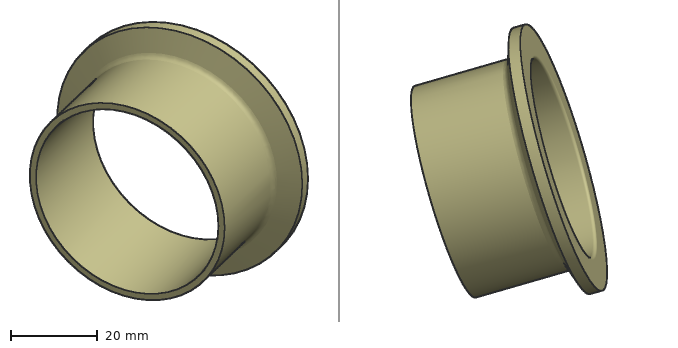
import cadquery as cq
import math

flange_diameter = 63.9
tube_diameter = 50.8
bore_diameter = 47.5
total_length = 28.7
rim_thickness = 2.9
cone_angle = 20.0
neck_fillet = 1.55
mouth_fillet = 0.75

flange_radius = flange_diameter / 2
tube_radius = tube_diameter / 2
bore_radius = bore_diameter / 2

cone_height = (flange_radius - tube_radius) * math.tan(math.radians(cone_angle))
cone_end = -(rim_thickness + cone_height)

section = (
    cq.Workplane("XY")
    .moveTo(bore_radius, 0)
    .lineTo(flange_radius, 0)
    .lineTo(flange_radius, -rim_thickness)
    .lineTo(tube_radius, cone_end)
    .lineTo(tube_radius, -total_length)
    .lineTo(bore_radius, -total_length)
    .close()
)
ferrule = section.revolve(360, (0, 0, 0), (0, 1, 0))

neck_plane = cq.selectors.BoxSelector(
    (-flange_diameter, cone_end - neck_fillet / 2, -flange_diameter),
    (flange_diameter, cone_end + neck_fillet / 2, flange_diameter),
)
ferrule = ferrule.edges("%CIRCLE").edges(neck_plane).fillet(neck_fillet)

mouth_edge = ferrule.faces(">Y").edges(cq.selectors.RadiusNthSelector(0))
result = mouth_edge.fillet(mouth_fillet)